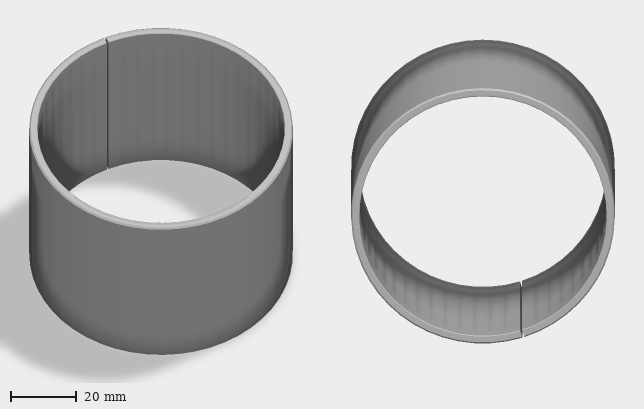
import cadquery as cq

outer_diameter = 80.0
wall_thickness = 2.5
length = 60.0
outer_chamfer = 0.5
inner_chamfer = 0.2
gap_angle = 1.0
full_turn = 360.0

outer_radius = outer_diameter / 2
inner_radius = outer_radius - wall_thickness
half_length = length / 2


def make_wall_section():
    """Wall section on the -X side, chamfered at both ends inside and outside."""
    section = [
        (-inner_radius, -half_length + inner_chamfer),
        (-inner_radius - inner_chamfer, -half_length),
        (-outer_radius + outer_chamfer, -half_length),
        (-outer_radius, -half_length + outer_chamfer),
        (-outer_radius, half_length - outer_chamfer),
        (-outer_radius + outer_chamfer, half_length),
        (-inner_radius - inner_chamfer, half_length),
        (-inner_radius, half_length - inner_chamfer),
    ]
    return cq.Workplane("XZ").polyline(section).close()


def make_split_sleeve():
    """Sweep the section about Z, from -X through -Y, and stop short by the gap angle."""
    axis_start = (0, 0)
    axis_end = (0, 1)
    return make_wall_section().revolve(full_turn - gap_angle, axis_start, axis_end)


result = make_split_sleeve()